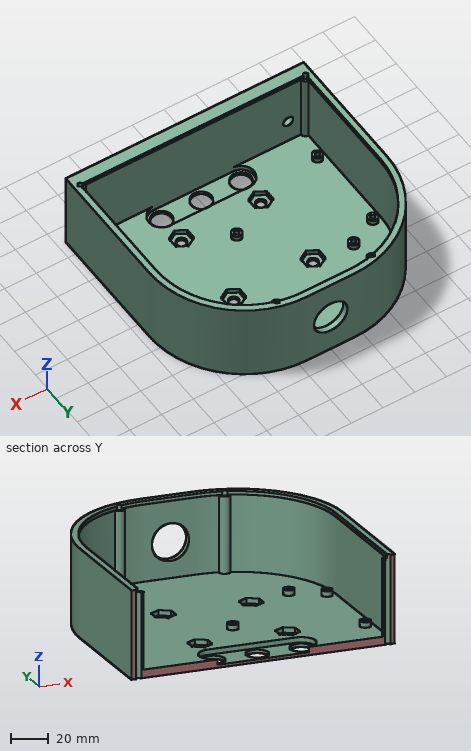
import cadquery as cq

width = 150.0
depth = width * 14 / 15
height = width / 3
corner_radius = 60.0

wall = 4.0
floor = 5.0
lid_clearance = 0.05
lid_depth = 2.0
lid_wall = wall - lid_clearance
lid_front_wall = 2 * lid_wall
front_wall = lid_front_wall + lid_clearance

post_diameter = 6.0
screw_diameter = 2.8
standoff_height = 3.0
rear_post_x = 30.0
rear_post_y = 134.0
front_post_x = width / 2 - lid_wall
front_post_y = lid_front_wall
side_standoff_x = 66.0
side_standoff_ys = (27.0, 80.0)
rear_standoff_x = 48.0
rear_standoff_y = 89.0
middle_standoff_y = 50.0

nut_spacing = width / 3
nut_center_y = 60.0
nut_corner_diameter = 13.2
nut_seat_thickness = 2.0
bolt_diameter = 6.2

opening_diameter = 12.5
opening_spacing = width / 6
opening_y = 16.0
recess_diameter = 2 * (opening_y - lid_front_wall)
recess_floor = 2.0

front_hole_diameter = 6.2
front_hole_x = 60.0
front_hole_z = 20.0
rear_hole_diameter = 21.0
rear_hole_z = height / 2


def rounded_block(side_inset, front_inset, bottom, top):
    """Block with rounded rear corners, inset from the outer side and rear faces."""
    block_width = width - 2 * side_inset
    block_depth = depth - side_inset - front_inset
    return (
        cq.Workplane("XY", origin=(0, front_inset + block_depth / 2, bottom))
        .rect(block_width, block_depth)
        .extrude(top - bottom)
        .edges("|Z and >Y")
        .fillet(corner_radius - side_inset)
    )


def cylinders(points, diameter, bottom, top):
    """Upright cylinders at the given XY points."""
    return (
        cq.Workplane("XY", origin=(0, 0, bottom))
        .pushPoints(points)
        .circle(diameter / 2)
        .extrude(top - bottom)
    )


def mirrored(x, y):
    """Left and right copies of one point."""
    return [(-x, y), (x, y)]


post_points = mirrored(rear_post_x, rear_post_y) + mirrored(front_post_x, front_post_y)
standoff_points = mirrored(rear_standoff_x, rear_standoff_y) + [(0, middle_standoff_y)]
for side_y in side_standoff_ys:
    standoff_points += mirrored(side_standoff_x, side_y)
nut_points = []
for nut_y in (nut_center_y - nut_spacing / 2, nut_center_y + nut_spacing / 2):
    nut_points += mirrored(nut_spacing / 2, nut_y)
opening_points = [(step * opening_spacing, opening_y) for step in (-1, 0, 1)]

lid_seat_z = height - lid_depth
body = rounded_block(0, 0, 0, height)
body = body.cut(rounded_block(wall, front_wall, floor, height))
body = body.cut(rounded_block(lid_wall, lid_front_wall, lid_seat_z, height))

body = body.union(cylinders(post_points, post_diameter, 0, lid_seat_z))
body = body.union(cylinders(standoff_points, post_diameter, 0, floor + standoff_height))
body = body.cut(cylinders(post_points + standoff_points, screw_diameter, 0, height))

for x, y in nut_points:
    pocket = (
        cq.Workplane("XY", origin=(x, y, nut_seat_thickness))
        .transformed(rotate=(0, 0, 90))
        .polygon(6, nut_corner_diameter)
        .extrude(floor - nut_seat_thickness)
    )
    body = body.cut(pocket)
body = body.cut(cylinders(nut_points, bolt_diameter, 0, floor))

recess = (
    cq.Workplane("XY", origin=(0, opening_y, recess_floor))
    .slot2D(2 * opening_spacing + recess_diameter, recess_diameter)
    .extrude(floor - recess_floor)
    .intersect(rounded_block(wall, front_wall, 0, height))
)
body = body.cut(recess)
body = body.cut(cylinders(opening_points, opening_diameter, 0, floor))

front_holes = (
    cq.Workplane("XZ")
    .pushPoints(mirrored(front_hole_x, front_hole_z))
    .circle(front_hole_diameter / 2)
    .extrude(-front_wall)
)
body = body.cut(front_holes)

rear_hole = (
    cq.Workplane("XZ", origin=(0, depth, rear_hole_z))
    .circle(rear_hole_diameter / 2)
    .extrude(wall)
)
body = body.cut(rear_hole)

result = body